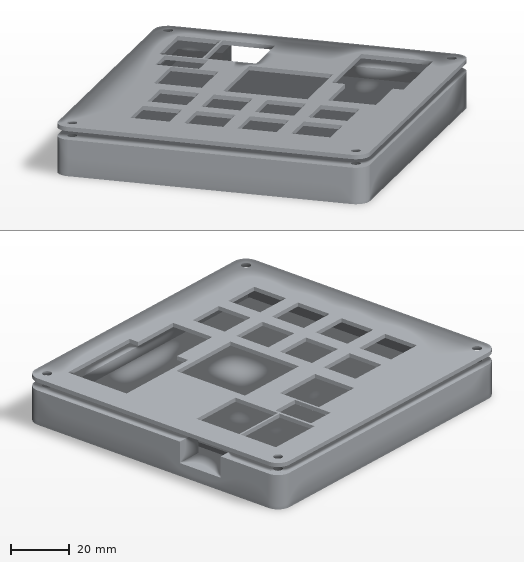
import cadquery as cq

length_x = 111.0
length_y = 117.0
total_height = 17.5
corner_radius = 5.0
half_x = length_x / 2
half_y = length_y / 2

housing_height = 13.0
wall = 10.1
floor_thickness = 4.9
cavity_x = length_x - 2 * wall
cavity_y = length_y - 2 * wall

notch_left = 26.0
notch_width = 17.9

board_depth = 4.0
board_thickness = 1.6
board_gap = 0.5

screw_inset = 5.0
screw_diameter = 3.4
sleeve_diameter = 6.0

plate_thickness = 1.5

top_row_height = 20.8
left_window_width = 15.3
second_window_inset = 26.1
second_window_width = 18.6
small_window_inset_x = 12.4
small_window_inset_y = 31.8
small_window_width = 15.6
small_window_height = 10.5
display_inset_x = 43.2
display_inset_y = 34.2
display_width = 30.0
display_height = 29.0
module_inset_y = 43.2
module_width = 17.1
module_height = 18.8
left_module_inset = 18.1
right_module_inset = 80.1
wide_window_inset = 75.3
wide_window_width = length_x - wall - wide_window_inset
wide_window_height = module_inset_y - wall

key_columns = 4
key_rows = 2
key_size = 13.9
key_pitch = 19.1
key_inset_x = 22.2
key_inset_y = 67.9

screw_points = [
    (side_x * (half_x - screw_inset), side_y * (half_y - screw_inset))
    for side_x in (-1, 1)
    for side_y in (-1, 1)
]


def rounded_slab(bottom, height):
    """Full-outline slab with rounded vertical corners."""
    slab = cq.Workplane("XY").workplane(offset=bottom).rect(length_x, length_y).extrude(height)
    return slab.edges("|Z").fillet(corner_radius)


def block(inset_x, inset_y, width, depth, bottom, top):
    """Box whose -X and +Y sides are inset from the -X and +Y edges of the part."""
    corner = (inset_x - half_x, half_y - inset_y - depth, bottom)
    return cq.Workplane("XY").box(width, depth, top - bottom, centered=False).translate(corner)


def cylinders(points, diameter, bottom, top):
    """Upright cylinders at the given points."""
    plane = cq.Workplane("XY").workplane(offset=bottom)
    return plane.pushPoints(points).circle(diameter / 2).extrude(top - bottom)


def make_housing():
    body = rounded_slab(0, housing_height)
    body = body.cut(block(wall, wall, cavity_x, cavity_y, floor_thickness, housing_height))
    body = body.cut(block(notch_left, 0, notch_width, wall, floor_thickness, housing_height))
    return body.cut(cylinders(screw_points, sleeve_diameter, 0, housing_height))


def make_board():
    top = housing_height - board_depth
    return block(wall, wall, cavity_x - board_gap, cavity_y, top - board_thickness, top)


def make_sleeve(point):
    outside = cylinders([point], sleeve_diameter, 0, housing_height)
    return outside.cut(cylinders([point], screw_diameter, 0, housing_height))


def make_plate():
    bottom = total_height - plate_thickness
    windows = [
        (wall, wall, left_window_width, top_row_height),
        (second_window_inset, wall, second_window_width, top_row_height),
        (small_window_inset_x, small_window_inset_y, small_window_width, small_window_height),
        (display_inset_x, display_inset_y, display_width, display_height),
        (left_module_inset, module_inset_y, module_width, module_height),
        (right_module_inset, module_inset_y, module_width, module_height),
        (wide_window_inset, wall, wide_window_width, wide_window_height),
    ]
    for column in range(key_columns):
        for row in range(key_rows):
            inset_x = key_inset_x + column * key_pitch
            inset_y = key_inset_y + row * key_pitch
            windows.append((inset_x, inset_y, key_size, key_size))

    body = rounded_slab(bottom, plate_thickness)
    for window in windows:
        body = body.cut(block(*window, bottom, total_height))
    return body.cut(cylinders(screw_points, screw_diameter, bottom, total_height))


housing = make_housing()
board = make_board()
sleeves = [make_sleeve(point) for point in screw_points]
plate = make_plate()

result = cq.Compound.makeCompound(
    [housing.val(), board.val(), plate.val(), *[sleeve.val() for sleeve in sleeves]]
)